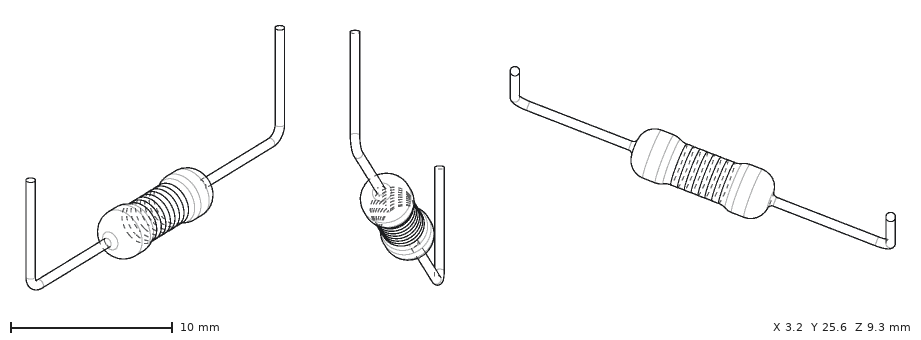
import cadquery as cq
import math

lead_radius = 0.3
lead_span = 25.0
lead_height = 7.7
bend_radius = 0.9

cap_radius = 1.6
neck_radius = 1.36
band_radius = 1.37
band_count = 4
band_width = 0.455
flare_length = 0.94
cap_straight = 0.83
cap_round = 1.16
collar_round = 0.3

neck_end = (2 * band_count - 1) * band_width / 2
flare_end = neck_end + flare_length
cap_straight_end = flare_end + cap_straight
collar_radius = lead_radius + collar_round
cap_round_center_radius = cap_radius - cap_round


def cap_dome_y(radius):
    """Axial position of the rounded cap end at a given radius."""
    return cap_straight_end + math.sqrt(cap_round**2 - (radius - cap_round_center_radius) ** 2)


def make_cap():
    """Flare, cap and collar at the +Y end of the body, turned from a profile (X is radius)."""
    flare_middle = ((neck_radius + cap_radius) / 2, (neck_end + flare_end) / 2)
    dome_middle_radius = (cap_radius + collar_radius) / 2
    dome_middle = (dome_middle_radius, cap_dome_y(dome_middle_radius))
    collar_start_y = cap_dome_y(collar_radius)
    collar_inset = collar_round * (1 - math.sqrt(0.5))
    collar_middle = (lead_radius + collar_inset, collar_start_y + collar_inset)
    collar_end_y = collar_start_y + collar_round
    profile = (
        cq.Workplane("XY")
        .moveTo(cap_radius, cap_straight_end)
        .lineTo(cap_radius, flare_end)
        .tangentArcPoint(flare_middle, relative=False)
        .tangentArcPoint((neck_radius, neck_end), relative=False)
        .lineTo(0, neck_end)
        .lineTo(0, collar_end_y)
        .lineTo(lead_radius, collar_end_y)
        .threePointArc(collar_middle, (collar_radius, collar_start_y))
        .threePointArc(dome_middle, (cap_radius, cap_straight_end))
        .close()
    )
    return profile.revolve(360, (0, 0, 0), (0, 1, 0))


def make_disc(radius, start_y, length):
    """Cylinder about the Y axis, reaching from start_y toward +Y."""
    return cq.Workplane("XZ", origin=(0, start_y, 0)).circle(radius).extrude(-length)


def make_half_lead():
    """Lead wire on the +Y side, from the middle of the body to its upright tip."""
    lead_y = lead_span / 2
    bend_inset = bend_radius * (1 - math.sqrt(0.5))
    path = (
        cq.Workplane("YZ")
        .lineTo(lead_y - bend_radius, 0)
        .threePointArc((lead_y - bend_inset, bend_inset), (lead_y, bend_radius))
        .lineTo(lead_y, lead_height)
    )
    return cq.Workplane("XZ").circle(lead_radius).sweep(path)


half = make_cap().union(make_half_lead())
neck = make_disc(neck_radius, -neck_end, 2 * neck_end)
result = neck.union(half).union(half.mirror("XZ"))

for band_index in range(band_count):
    band_start = -neck_end + 2 * band_index * band_width
    result = result.union(make_disc(band_radius, band_start, band_width))